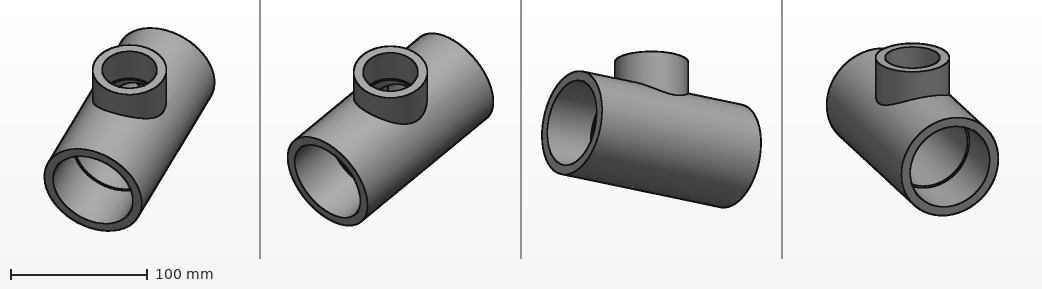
import cadquery as cq

run_length = 142.0
run_outer_diameter = 77.0
run_socket_diameter = 63.0
run_bore_diameter = 60.0
run_socket_depth = 38.6

branch_top = 97.5 - run_outer_diameter / 2
branch_outer_diameter = 54.0
branch_socket_diameter = 40.0
branch_bore_diameter = 37.0
branch_socket_depth = 26.5


def run_cylinder(diameter, start_y, length):
    """Cylinder along +Y starting at start_y."""
    axis_start = cq.Vector(0, start_y, 0)
    return cq.Workplane(cq.Solid.makeCylinder(diameter / 2, length, axis_start, cq.Vector(0, 1, 0)))


def branch_cylinder(diameter, start_z):
    """Cylinder along Z from start_z up to the branch mouth."""
    return cq.Workplane("XY").workplane(offset=start_z).circle(diameter / 2).extrude(branch_top - start_z)


run_start = -run_length / 2
body = run_cylinder(run_outer_diameter, run_start, run_length)
body = body.union(branch_cylinder(branch_outer_diameter, 0))

body = body.cut(run_cylinder(run_bore_diameter, run_start, run_length))
body = body.cut(branch_cylinder(branch_bore_diameter, 0))

for socket_start in (run_start, run_length / 2 - run_socket_depth):
    body = body.cut(run_cylinder(run_socket_diameter, socket_start, run_socket_depth))
body = body.cut(branch_cylinder(branch_socket_diameter, branch_top - branch_socket_depth))

result = body